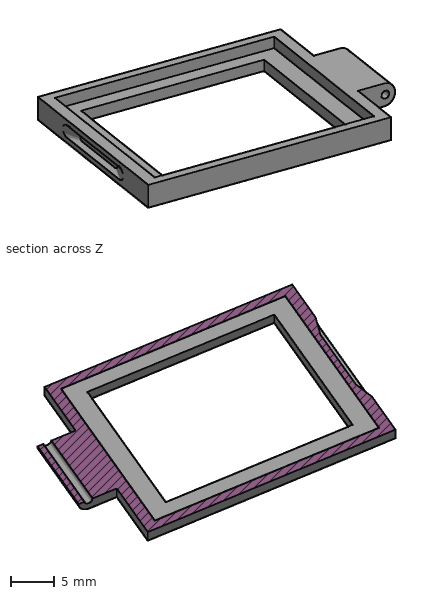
import cadquery as cq

width = 25.0
thickness = 3.0
overall_length = 37.5
tab_length = 5.0
frame_length = overall_length - tab_length
side_wall = 1.2
end_wall = 1.58
side_ledge = 1.85
end_ledge = 2.45
pocket_depth = 1.5

tab_width = 10.0
pin_diameter = 1.0
pin_to_tip = 1.3

slot_length = 13.58
slot_height = 1.6
slot_floor_length = 8.5
slot_floor_height = 1.0
slot_depth = 0.75

mid_height = thickness / 2


def make_frame():
    """Frame with a recessed ledge around an open window."""
    pocket_width = width - 2 * side_wall
    pocket_length = frame_length - 2 * end_wall
    window_width = pocket_width - 2 * side_ledge
    window_length = pocket_length - 2 * end_ledge
    centre_y = frame_length / 2
    frame = cq.Workplane("XY").center(0, centre_y).rect(width, frame_length).extrude(thickness)
    pocket = (
        cq.Workplane("XY", origin=(0, centre_y, thickness - pocket_depth))
        .rect(pocket_width, pocket_length)
        .extrude(pocket_depth)
    )
    window = cq.Workplane("XY").center(0, centre_y).rect(window_width, window_length).extrude(thickness)
    return frame.cut(pocket).cut(window)


def make_tab():
    """Tab on the rear wall, rounded at its tip and drilled along X for a pin."""
    pin_y = overall_length - pin_to_tip
    profile = cq.Workplane("YZ", origin=(-tab_width / 2, 0, 0))
    tab = (
        profile.moveTo(frame_length, 0)
        .lineTo(pin_y, 0)
        .threePointArc((overall_length, mid_height), (pin_y, thickness))
        .lineTo(frame_length, thickness)
        .close()
        .extrude(tab_width)
    )
    pin_hole = profile.center(pin_y, mid_height).circle(pin_diameter / 2).extrude(tab_width)
    return tab.cut(pin_hole)


def make_finger_slot():
    """Round-ended slot that narrows evenly from the front face to its floor."""
    return (
        cq.Workplane("XZ", origin=(0, 0, mid_height))
        .slot2D(slot_length, slot_height)
        .workplane(offset=-slot_depth)
        .slot2D(slot_floor_length, slot_floor_height)
        .loft(ruled=True)
    )


result = make_frame().union(make_tab()).cut(make_finger_slot())